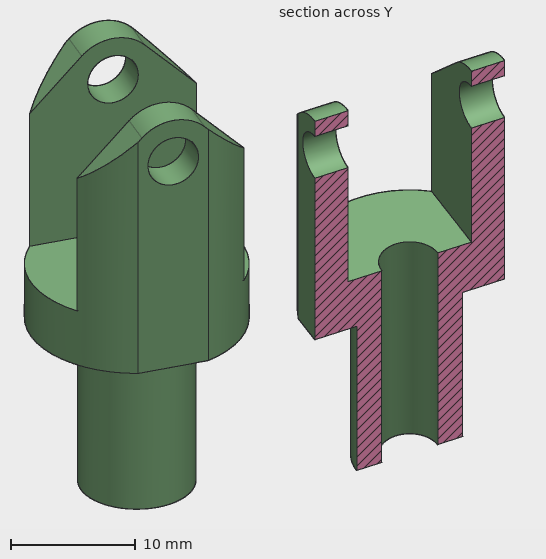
import cadquery as cq
import math

total_height = 37.75
body_diameter = 18.0
width_across_flats = 17.0
stem_diameter = 9.5
stem_length = 15.0
base_thickness = 5.0
slot_width = 11.02
bore_diameter = 5.0
pin_hole_diameter = 4.3
tip_radius = 3.77

slot_floor_z = stem_length + base_thickness
pin_z = total_height - tip_radius
body_radius = body_diameter / 2
tangent_offset = tip_radius * math.sin(math.radians(45))
tangent_z = pin_z + tangent_offset
shoulder_z = tangent_z - (body_radius - tangent_offset)


def make_stem():
    return cq.Workplane("XY").circle(stem_diameter / 2).extrude(stem_length)


def make_fork_profile():
    """Side outline with 45 degree shoulders tangent to a round tip, extruded along X."""
    return (
        cq.Workplane("YZ")
        .moveTo(-body_radius, stem_length)
        .lineTo(body_radius, stem_length)
        .lineTo(body_radius, shoulder_z)
        .lineTo(tangent_offset, tangent_z)
        .threePointArc((0, total_height), (-tangent_offset, tangent_z))
        .lineTo(-body_radius, shoulder_z)
        .close()
        .extrude(width_across_flats / 2, both=True)
    )


def make_fork():
    """Round body with two side flats, split by a slot into two ears."""
    cylinder = (
        cq.Workplane("XY")
        .workplane(offset=stem_length)
        .circle(body_radius)
        .extrude(total_height - stem_length)
    )
    slot = (
        cq.Workplane("XY")
        .workplane(offset=slot_floor_z)
        .rect(slot_width, body_diameter)
        .extrude(total_height - slot_floor_z)
    )
    return cylinder.intersect(make_fork_profile()).cut(slot)


def make_bore():
    """Axial hole through the base and stem."""
    return cq.Workplane("XY").circle(bore_diameter / 2).extrude(slot_floor_z)


def make_pin_hole():
    """Cross hole through both ears, concentric with their tips."""
    return (
        cq.Workplane("YZ")
        .center(0, pin_z)
        .circle(pin_hole_diameter / 2)
        .extrude(width_across_flats / 2, both=True)
    )


result = make_stem().union(make_fork()).cut(make_bore()).cut(make_pin_hole())